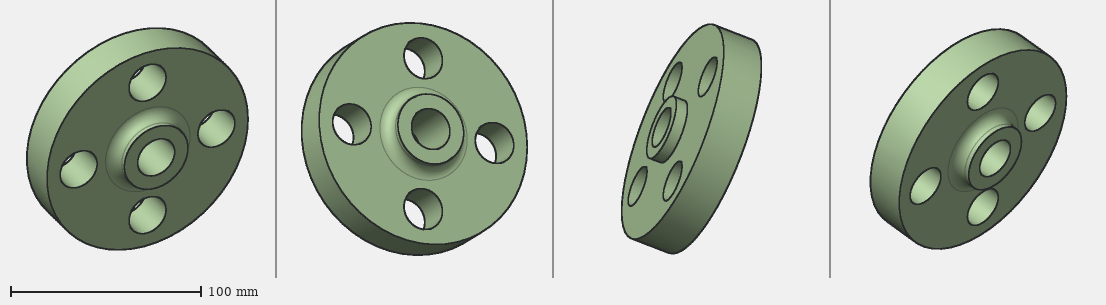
import cadquery as cq

disc_diameter = 120.6
disc_thickness = 22.2

face_diameter = 35.0
face_height = 6.5

hub_diameter = 38.1
hub_height = 9.4
hub_fillet = 6.3

bore_diameter = 22.2
bolt_hole_diameter = 22.2
bolt_circle_diameter = 82.6
bolt_count = 4

total_length = face_height + disc_thickness + hub_height
disc_back = face_height + disc_thickness


def revolved_body():
    """Solid of revolution: raised face, disc and filleted hub."""
    face_radius = face_diameter / 2
    disc_radius = disc_diameter / 2
    hub_radius = hub_diameter / 2
    return (
        cq.Workplane("XY")
        .moveTo(0, 0)
        .lineTo(0, face_radius)
        .lineTo(face_height, face_radius)
        .lineTo(face_height, disc_radius)
        .lineTo(disc_back, disc_radius)
        .lineTo(disc_back, hub_radius + hub_fillet)
        .radiusArc((disc_back + hub_fillet, hub_radius), -hub_fillet)
        .lineTo(total_length, hub_radius)
        .lineTo(total_length, 0)
        .close()
        .revolve(360, (0, 0, 0), (1, 0, 0))
    )


def through_holes():
    """Cutters for the centre bore and the ring of bolt holes."""
    bore = cq.Workplane("YZ").circle(bore_diameter / 2).extrude(total_length)
    bolt_holes = (
        cq.Workplane("YZ")
        .polarArray(bolt_circle_diameter / 2, 0, 360, bolt_count)
        .circle(bolt_hole_diameter / 2)
        .extrude(total_length)
    )
    return bore.union(bolt_holes)


result = revolved_body().cut(through_holes())